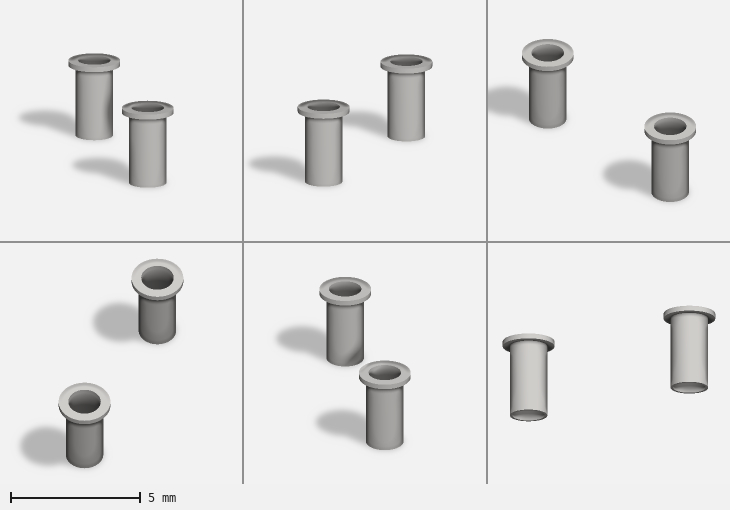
import cadquery as cq

overall_length = 9.0
overall_width = 3.05
sleeve_height = 3.0

flange_diameter = 2.0
flange_thickness = 0.2
barrel_diameter = 1.45
bore_diameter = 1.25

spacing_x = overall_length - flange_diameter
spacing_y = overall_width - flange_diameter

sleeve_centers = [
    (-spacing_x / 2, spacing_y / 2),
    (spacing_x / 2, -spacing_y / 2),
]


def make_sleeve(center):
    """Upright tube with a thin flange at its top and a bore right through."""
    barrel = cq.Workplane("XY").circle(barrel_diameter / 2).extrude(sleeve_height)
    flange = (
        cq.Workplane("XY")
        .workplane(offset=sleeve_height - flange_thickness)
        .circle(flange_diameter / 2)
        .extrude(flange_thickness)
    )
    bore = cq.Workplane("XY").circle(bore_diameter / 2).extrude(sleeve_height)
    center_x, center_y = center
    return barrel.union(flange).cut(bore).translate((center_x, center_y, 0))


sleeves = [make_sleeve(center) for center in sleeve_centers]

result = cq.Compound.makeCompound([sleeve.val() for sleeve in sleeves])